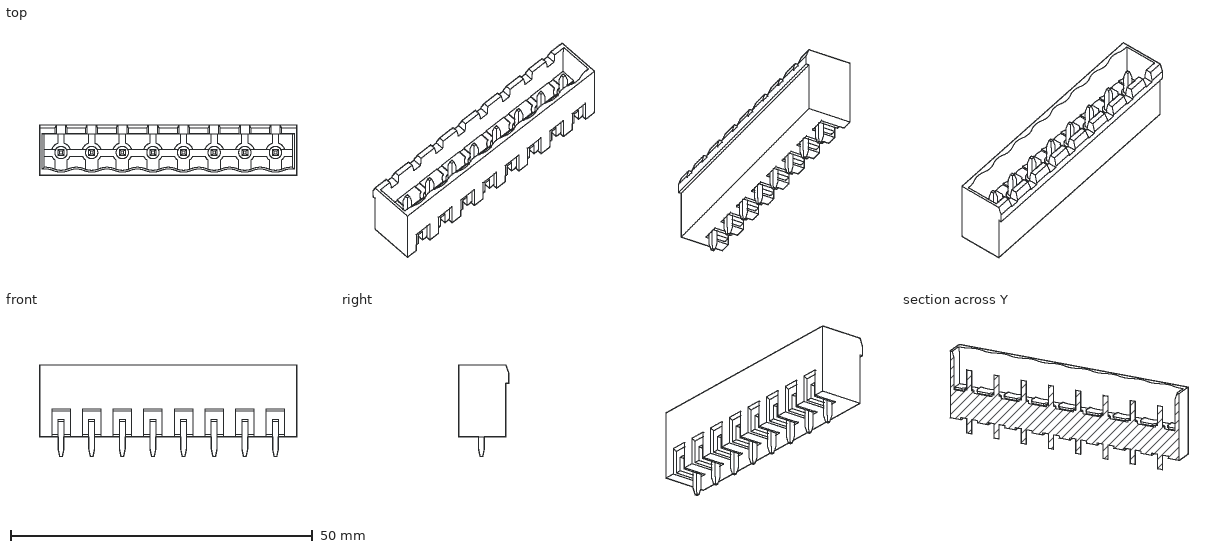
import cadquery as cq
import math


length = 42.65
depth = 7.85
overall_depth = 8.35
height = 11.95
pin_count = 8
pitch = 5.08
front_y = -3.8
back_y = front_y + depth
pin_positions = [(i - (pin_count - 1) / 2) * pitch for i in range(pin_count)]

rail_overhang = overall_depth - depth
rail_drop = 3.05
rail_slope_drop = 1.4

floor_z = 5.55
lead_in_height = 1.1
end_wall = 0.75
end_lead_in = 0.35
back_wall = 1.02
back_lead_in = 0.13
front_wall = 1.35
front_lead_in = 0.3
wave_depth = 0.5

notch_floor_width = 1.5
notch_mouth_width = 2.0
notch_depth = 1.7

relief_depth = 0.35
shelf_depth = 0.15
relief_radius = 1.6
groove_front_y = -0.7
groove_back_y = 0.45
front_slot_width = 2.05
back_slot_width = 1.02
collar_radius = 1.02

pin_width = 1.0
pin_tip_width = 0.45
pin_taper = 1.25
pin_top_z = 10.25
pin_bottom_z = -3.3

window_width = 3.05
window_height = 4.65
window_roof_drop = 0.35
window_depth = 0.65
underside_rise = 0.4
slot_height = 2.85
slot_back_drop = 0.35
slot_back_run = 0.15


def extrude_along_x(points, width, x_center):
    """Prism of a (y, z) outline, centred on x_center."""
    profile = cq.Workplane("YZ", origin=(x_center, 0, 0)).polyline(points).close()
    return profile.extrude(width / 2, both=True)


def box(x_range, y_range, z_range):
    """Box between the given limits."""
    size = [high - low for low, high in (x_range, y_range, z_range)]
    corner = (x_range[0], y_range[0], z_range[0])
    return cq.Workplane("XY").box(*size, centered=False).translate(corner)


def make_housing():
    rail_y = back_y + rail_overhang
    outline = [
        (front_y, 0),
        (back_y, 0),
        (back_y, height - rail_drop),
        (rail_y, height - rail_drop),
        (rail_y, height - rail_slope_drop),
        (back_y, height),
        (front_y, height),
    ]
    return extrude_along_x(outline, length, 0)


def cavity_outline(z, widen):
    """Cavity wire at height z; widen runs from 0 (deep) to 1 (at the mouth)."""
    half_length = length / 2 - end_wall + end_lead_in * widen
    rear = back_y - back_wall + back_lead_in * widen
    crest = front_y + front_wall - front_lead_in * widen
    trough = crest - wave_depth
    middle = (crest + trough) / 2
    radius = ((pitch / 4) ** 2 + (wave_depth / 2) ** 2) / wave_depth
    first_crest = pin_positions[0] - pitch / 2
    wire = cq.Workplane("XY", origin=(0, 0, z)).moveTo(-half_length, rear).lineTo(-half_length, crest)
    wire = wire.lineTo(first_crest, crest)
    arc_drop = radius - math.sqrt(radius**2 - (pitch / 8) ** 2)
    for x in pin_positions:
        wire = wire.threePointArc((x - pitch * 3 / 8, crest - arc_drop), (x - pitch / 4, middle))
        wire = wire.threePointArc((x, trough), (x + pitch / 4, middle))
        wire = wire.threePointArc((x + pitch * 3 / 8, crest - arc_drop), (x + pitch / 2, crest))
    return wire.lineTo(half_length, crest).lineTo(half_length, rear).close().wire().val()


def make_cavity():
    lead_in_z = height - lead_in_height
    lower = cq.Solid.extrudeLinear(cavity_outline(floor_z, 0), [], cq.Vector(0, 0, lead_in_z - floor_z))
    upper = cq.Solid.makeLoft([cavity_outline(lead_in_z, 0), cavity_outline(height, 1)], True)
    return cq.Workplane(lower).union(cq.Workplane(upper))


def make_notch(x):
    outline = [
        (x - notch_floor_width / 2, height - notch_depth),
        (x + notch_floor_width / 2, height - notch_depth),
        (x + notch_mouth_width / 2, height),
        (x - notch_mouth_width / 2, height),
    ]
    front = back_y - back_wall
    return (
        cq.Workplane("XZ", origin=(0, front, 0))
        .polyline(outline)
        .close()
        .extrude(-(back_wall + rail_overhang))
    )


def make_floor_relief():
    """Groove along the pin row, with a round pocket and two cross slots at each pin."""
    half_length = length / 2 - end_wall
    relief_z = (floor_z - relief_depth, floor_z)
    shelf_z = (floor_z - shelf_depth, floor_z)
    relief = box((-half_length, half_length), (groove_front_y, groove_back_y), relief_z)
    cavity_front = front_y + front_wall - wave_depth
    cavity_rear = back_y - back_wall
    for x in pin_positions:
        half_front = front_slot_width / 2
        half_back = back_slot_width / 2
        disc = cq.Workplane("XY", origin=(x, 0, relief_z[0])).circle(relief_radius).extrude(relief_depth)
        front_half = box((x - relief_radius, x + relief_radius), (-relief_radius, groove_back_y), relief_z)
        back_half = box((x - relief_radius, x + relief_radius), (groove_back_y, relief_radius), shelf_z)
        front_slot = box((x - half_front, x + half_front), (cavity_front, 0), relief_z)
        back_slot = box((x - half_back, x + half_back), (groove_back_y, cavity_rear), shelf_z)
        relief = relief.union(disc.intersect(front_half.union(back_half))).union(front_slot).union(back_slot)
        collar = cq.Workplane("XY", origin=(x, 0, relief_z[0])).circle(collar_radius).extrude(relief_depth)
        relief = relief.cut(collar)
    footprint = cq.Solid.extrudeLinear(cavity_outline(relief_z[0], 0), [], cq.Vector(0, 0, relief_depth))
    return relief.intersect(cq.Workplane(footprint))


def make_front_opening(x):
    """Window with a sloping roof, and behind it a slot that reaches the pin."""
    window_back = front_y + window_depth
    window = extrude_along_x(
        [
            (front_y, 0),
            (window_back, 0),
            (window_back, window_height - window_roof_drop),
            (front_y, window_height),
        ],
        window_width,
        x,
    )
    pin_front = -pin_width / 2
    slot = extrude_along_x(
        [
            (front_y, 0),
            (pin_front, 0),
            (pin_front, slot_height - slot_back_drop),
            (pin_front - slot_back_run, slot_height),
            (front_y, slot_height),
        ],
        pin_width,
        x,
    )
    half_window = window_width / 2
    underside = box((x - half_window, x + half_window), (front_y, pin_width / 2), (0, underside_rise))
    return window.union(slot).union(underside)


def make_pin(x):
    shank = cq.Workplane("XY").rect(pin_width, pin_width)
    shank_bottom = pin_bottom_z + pin_taper
    shank_top = pin_top_z - pin_taper
    pin = shank.extrude(shank_top - shank_bottom).translate((x, 0, shank_bottom))
    for shank_end, tip in ((shank_bottom, pin_bottom_z), (shank_top, pin_top_z)):
        taper = (
            cq.Workplane("XY", origin=(x, 0, shank_end))
            .rect(pin_width, pin_width)
            .workplane(offset=tip - shank_end)
            .rect(pin_tip_width, pin_tip_width)
            .loft()
        )
        pin = pin.union(taper)
    return pin


result = make_housing().cut(make_cavity()).cut(make_floor_relief())
for pin_x in pin_positions:
    result = result.cut(make_notch(pin_x)).cut(make_front_opening(pin_x)).union(make_pin(pin_x))